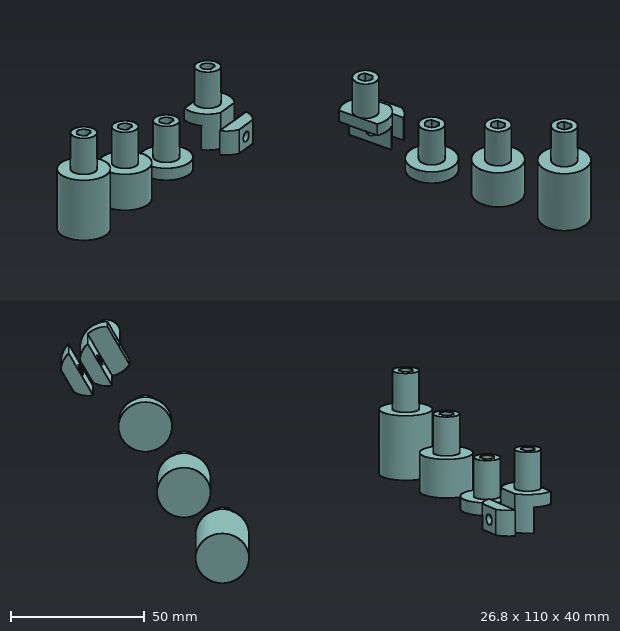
import cadquery as cq

head_radius = 10.0
stem_radius = 5.0
stem_length = 15.0
knob_spacing = 30.0
plain_head_heights = [25.0, 15.0, 5.0]

bore_radius = 2.7
bore_flat_offset = 2.2
bore_depth = stem_length

clamp_y = len(plain_head_heights) * knob_spacing
clamp_head_thickness = 5.0
jaw_height = 10.0
clamp_back_x = -stem_radius
clamp_front_x = 8.66
jaw_back_x = 2.9
loose_jaw_shift = 8.1
screw_hole_diameter = 4.0


def disc_slice(x_min, x_max, height):
    """Disc of the head radius, kept only between two flats square to X."""
    disc = cq.Workplane("XY").circle(head_radius).extrude(height)
    keep = cq.Workplane("XY").box(
        x_max - x_min, 2 * head_radius, height, centered=(False, True, False)
    )
    return disc.intersect(keep.translate((x_min, 0, 0)))


def d_bore(top_z):
    """Cutter for the D-shaped blind socket that opens at top_z."""
    flat_half_width = (bore_radius**2 - bore_flat_offset**2) ** 0.5
    return (
        cq.Workplane("XY", origin=(0, 0, top_z))
        .moveTo(bore_flat_offset, flat_half_width)
        .threePointArc((-bore_radius, 0), (bore_flat_offset, -flat_half_width))
        .close()
        .extrude(-bore_depth)
    )


def add_stem(head, head_top):
    """Put a stem with its D-shaped socket on a head."""
    stem = cq.Workplane("XY", origin=(0, 0, head_top)).circle(stem_radius).extrude(stem_length)
    return head.union(stem).cut(d_bore(head_top + stem_length))


def make_plain_knob(head_height):
    """Round head with a stem on top."""
    head = cq.Workplane("XY").circle(head_radius).extrude(head_height)
    return add_stem(head, head_height)


def make_jaw():
    """Jaw block with a screw hole running through it along X."""
    jaw = disc_slice(jaw_back_x, clamp_front_x, jaw_height)
    screw_hole = (
        cq.Workplane("YZ", origin=(jaw_back_x, 0, jaw_height / 2))
        .circle(screw_hole_diameter / 2)
        .extrude(clamp_front_x - jaw_back_x)
    )
    return jaw.cut(screw_hole)


def make_clamp_knob():
    """Head with two flats, a fixed jaw hanging below it and a stem on top."""
    head = disc_slice(clamp_back_x, clamp_front_x, clamp_head_thickness)
    head = head.translate((0, 0, jaw_height)).union(make_jaw())
    return add_stem(head, jaw_height + clamp_head_thickness)


plain_knobs = []
for index, head_height in enumerate(plain_head_heights):
    knob = make_plain_knob(head_height).translate((0, index * knob_spacing, 0))
    plain_knobs.append(knob.val())

clamp_knob = make_clamp_knob().translate((0, clamp_y, 0))
loose_jaw = make_jaw().translate((loose_jaw_shift, clamp_y, 0))

result = cq.Compound.makeCompound([*plain_knobs, clamp_knob.val(), loose_jaw.val()])